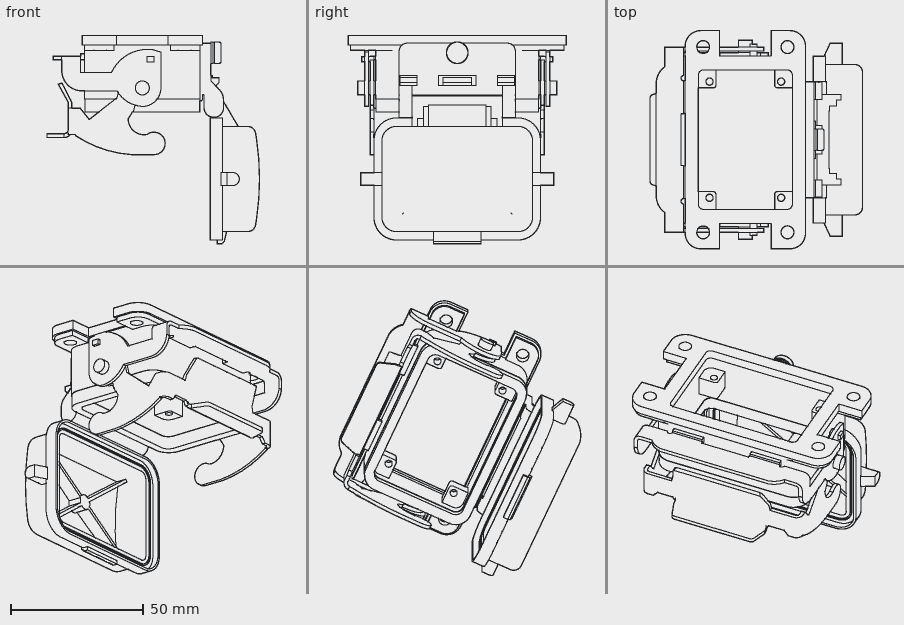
import cadquery as cq
import math


flange_half_x = 22.8
flange_half_y = 41.25
flange_thickness = 3.6
flange_corner = 5.9
flange_notch_half_x = 9.7
flange_notch_floor_y = 31.7
step_inset = 0.9
step_bottom_z = -5.6
step_notch_half_x = 10.7
mount_hole_x = 15.9
mount_hole_y = 35.0
mount_hole_radius = 2.4

body_half_x = flange_half_x - step_inset
body_half_y = 30.85
body_corner = 6.2
body_bottom_z = -28.95
foot_top_z = -23.9
foot_inset = 0.2
foot_relief = 0.6
opening_half_x = 17.7
opening_half_y = 26.3
opening_corner = 1.9
cavity_relief = 0.75
cavity_corner = 3.05

boss_inner_x = 11.05
boss_inner_y = 19.55
boss_top_z = -9.1
boss_height = 7.9
boss_corner = 1.1
boss_hole_x = 13.5
boss_hole_y = 21.95
boss_hole_radius = 1.3

pivot_z = -19.8
pivot_radius = 2.6
pivot_end_y = 37.6
lock_pin_x = 3.05
lock_pin_z = -9.0
lock_pin_length = 2.7
lock_pin_height = 2.0
lock_pin_end_y = 36.1

upper_outer_y = 35.0
upper_sheet = 1.5
upper_bend = 2.8
upper_top_z = -7.75
upper_left_x = -30.45
upper_right_x = -23.35
upper_bend_z = upper_top_z - upper_bend
upper_arm_top_z = -13.95
upper_arm_bottom_z = -20.95
upper_elbow = 7.7
upper_head_radius = 7.0
upper_crest_z = -5.4
upper_shoulder_x = -11.6
upper_crest_arc = (-7.35, -8.5)
upper_crest_right_x = 4.0
upper_head_corner_z = -6.3
upper_throat_arc = (-5.6, -25.0)
upper_throat_x = -9.6
upper_lip_bulge = 0.75
upper_lip_x = -33.7
upper_lip_half_y = 22.1
upper_lip_root_y = 27.55
relief_x = -24.25
relief_half_y = 9.7
relief_slot_y = 23.3
relief_slot_radius = 1.0
stop_inner_y = 9.9
stop_outer_y = 22.3
stop_top_z = -6.85

lower_outer_y = 32.9
lower_sheet = 1.4
lower_left_x = -28.05
lower_bend = 2.7
lower_arm_x = lower_left_x + lower_bend
lower_return_x = lower_arm_x + 0.8
lower_plate_top_z = -27.5
lower_plate_bottom_z = -37.45
lower_arch_z = -35.4
lower_arch_outer_y = 26.3
lower_arch_foot_y = 28.05
guard_base_half_y = 20.55
guard_bend_half_y = 20.0
guard_tip_half_y = 18.0
guard_bend_z = -25.2
guard_tip_z = -17.9
guard_tip_x = -30.4
guard_tip_drop = 0.5
guard_corner = 1.5
guard_bend_radius = 1.2
grip_root_half_y = 20.0
grip_half_y = 18.9
grip_round_half_y = 17.0
grip_tip_half_y = 15.5
grip_tip_x = -36.05
grip_round_x = -35.2
grip_bend_inner = 1.5
grip_round_bulge = 0.2
grip_top_z = -37.05
grip_bottom_z = -38.6
lower_shoulder_x = -23.4
lower_notch = (-20.05, -31.7)
lower_neck = (-9.6, -23.5)
lower_head_left_x = -8.7
lower_head_arc = (-5.85, -13.2)
lower_head_top = (0.8, -9.2)
lower_head_right_x = 5.8
lower_head_bottom_arc = (3.3, -24.3)
lower_throat = (-2.8, -26.3)
lower_throat_bend = (-3.1, -28.05)
hook_mouth = (-5.3, -31.4)
hook_mouth_arc = (-3.0, -36.2)
hook_throat_x = 1.8
lower_keel_x = -4.05
lower_keel_arc = (-15.2, -42.8)
lower_keel_drop = 0.3
hook_center_x = 4.4
hook_center_z = -40.75
hook_radius = 4.3

hinge_half_y = 21.95
hinge_top_z = -2.9
hinge_corner = 3.05
hinge_plate_x = 25.9
hinge_plate_bottom_z = -22.4
hinge_heel_x = 22.8
hinge_heel_bottom_z = -24.7
hinge_heel_chamfer = 0.5
hinge_axis_x = 27.0
hinge_axis_z = -27.2
hinge_radius = 3.7
hinge_arm_inner_y = 17.1
hinge_shoulder_z = -17.2
hinge_slope_x = 29.3
hinge_slope_z = -20.6
hinge_arm_arc = (30.3, -22.2)
hinge_arm_round_z = -24.1
catch_end_x = 28.95
catch_top_z = -15.9
catch_bottom_z = -19
catch_chamfer = 1.15
catch_inner_y = 15.2
catch_outer_y = 21.7
catch_root_x = 26.5
catch_root_z = -15.0
catch_block_half_y = 5.45
catch_block_root_half_y = 7.1
screw_z = -6.5
screw_radius = 4.1
screw_end_x = 29.8
screw_rounding = 1.0
screw_groove_x = 26.7
screw_groove_width = 0.6
screw_groove_depth = 0.2

cover_z = -54.2
rim_front_x = 25.6
rim_back_x = 30.4
rim_half_y = 31.5
rim_half_z = 23.1
rim_corner = 8.7
shell_half_y = 28.5
shell_half_z = 19.9
shell_corner = 5.5
shell_edge_x = 42.3
shell_peak_x = 44.3
shell_fillet = 3.05
shell_wall = 2.3
lip_width = 0.9
seat_depth = 2.5
bead_outer_inset = 2.7
bead_width = 0.6
bead_height = 0.4
pocket_half_y = 26.3
pocket_half_z = 18.1
pocket_corner = 2.5
pocket_taper = 4.2
rib_front_x = 36.5
rib_floor_overlap = 0.8
rib_width = 1.2
rib_angle = 33.9
hub_radius = 2.9

peg_end_y = 36.5
peg_height = 4.9
peg_root_x = 29.7
peg_tip_x = 32.0
peg_right_x = 36.6

gusset_steps = [(14.9, 17.1, 36.3), (12.8, 14.9, 34.5), (10.9, 12.8, 31.85)]
gusset_radius = 4.4
gusset_slope = 1.7
gusset_web_x = 31.5
gusset_root_x = 29.5
gusset_root_z = -35.1

cover_tab_half_y = 9.0
cover_tab_bottom_z = -78.7
cover_tab_left_x = 28.2
cover_tab_toe_x = 30.0
cover_tab_bevel = 1.0
cover_tab_heel_x = 31.85


def block(x0, x1, y0, y1, z0, z1):
    return cq.Workplane("XY").box(x1 - x0, y1 - y0, z1 - z0, centered=False).translate((x0, y0, z0))


def both_sides(solid):
    return solid.union(solid.mirror("XZ"))


def side_sketch(y_face):
    """Workplane holding X and Z; extruding from it goes toward -Y."""
    return cq.Workplane("XZ", origin=(0, y_face, 0))


def rounded_prism(half_x, half_y, corner, z_top, z_bottom):
    prism = block(-half_x, half_x, -half_y, half_y, z_bottom, z_top)
    return prism.edges("|Z").fillet(corner)


def cover_prism(half_y, half_z, corner, x0, x1):
    prism = block(x0, x1, -half_y, half_y, cover_z - half_z, cover_z + half_z)
    return prism.edges("|X").fillet(corner)


def flange_layer(half_x, half_y, corner, notch_half_x, notch_floor, z_top, z_bottom):
    layer = rounded_prism(half_x, half_y, corner, z_top, z_bottom)
    notch = block(-notch_half_x, notch_half_x, notch_floor, half_y + 0.8, z_bottom, z_top)
    return layer.cut(both_sides(notch))


def make_housing():
    flange = flange_layer(
        flange_half_x, flange_half_y, flange_corner,
        flange_notch_half_x, flange_notch_floor_y, 0, -flange_thickness,
    )
    step = flange_layer(
        body_half_x, flange_half_y - step_inset, flange_corner - step_inset,
        step_notch_half_x, body_half_y, -flange_thickness, step_bottom_z,
    )
    body = rounded_prism(body_half_x, body_half_y, body_corner, -flange_thickness, foot_top_z)
    foot = rounded_prism(
        body_half_x - foot_inset, body_half_y - foot_inset, body_corner - foot_inset,
        foot_top_z, body_bottom_z,
    )
    housing = flange.union(step).union(body).union(foot)

    opening = rounded_prism(opening_half_x, opening_half_y, opening_corner, 0, -flange_thickness)
    cavity = rounded_prism(
        opening_half_x + cavity_relief, opening_half_y + cavity_relief, cavity_corner,
        -flange_thickness, foot_top_z,
    )
    foot_opening = rounded_prism(
        opening_half_x + foot_relief, opening_half_y + foot_relief, cavity_corner,
        foot_top_z, body_bottom_z,
    )
    housing = housing.cut(opening).cut(cavity).cut(foot_opening)

    boss = block(
        boss_inner_x, opening_half_x + 0.8, boss_inner_y, opening_half_y + 0.8,
        boss_top_z - boss_height, boss_top_z,
    )
    boss = boss.edges("|Z and <X and <Y").fillet(boss_corner)
    bosses = both_sides(boss.union(boss.mirror("YZ")))
    housing = housing.union(bosses)

    boss_holes = (
        cq.Workplane("XY").rect(2 * boss_hole_x, 2 * boss_hole_y, forConstruction=True).vertices()
        .circle(boss_hole_radius).extrude(body_bottom_z)
    )
    mount_holes = (
        cq.Workplane("XY").rect(2 * mount_hole_x, 2 * mount_hole_y, forConstruction=True).vertices()
        .circle(mount_hole_radius).extrude(step_bottom_z)
    )
    return housing.cut(boss_holes).cut(mount_holes)


def make_pins():
    pivot = side_sketch(pivot_end_y).center(0, pivot_z).circle(pivot_radius)
    pivot = pivot.extrude(pivot_end_y - body_half_y + 0.8)
    lock_pin = side_sketch(lock_pin_end_y).center(lock_pin_x, lock_pin_z)
    lock_pin = lock_pin.rect(lock_pin_length, lock_pin_height)
    lock_pin = lock_pin.extrude(lock_pin_end_y - lower_outer_y + lower_sheet)
    return both_sides(pivot.union(lock_pin))


def upper_lever_arm():
    elbow_x = upper_left_x + upper_elbow
    elbow_z = upper_arm_bottom_z + upper_elbow
    elbow_reach = upper_elbow * math.sqrt(0.5)
    head_reach = upper_head_radius * math.sqrt(0.5)
    arm = (
        side_sketch(upper_outer_y)
        .moveTo(upper_left_x, upper_bend_z)
        .lineTo(upper_right_x, upper_bend_z)
        .lineTo(upper_right_x, upper_arm_top_z)
        .lineTo(upper_shoulder_x, upper_arm_top_z)
        .threePointArc(upper_crest_arc, (0, upper_crest_z))
        .lineTo(upper_crest_right_x, upper_crest_z)
        .lineTo(upper_head_radius, upper_head_corner_z)
        .lineTo(upper_head_radius, pivot_z)
        .threePointArc((head_reach, pivot_z - head_reach), (0, pivot_z - upper_head_radius))
        .threePointArc(upper_throat_arc, (upper_throat_x, upper_arm_bottom_z))
        .lineTo(elbow_x, upper_arm_bottom_z)
        .threePointArc((elbow_x - elbow_reach, elbow_z - elbow_reach), (upper_left_x, elbow_z))
        .close()
        .extrude(upper_sheet)
    )
    return both_sides(arm)


def make_upper_lever():
    inner_y = upper_outer_y - upper_sheet
    under_z = upper_top_z - upper_sheet
    bridge = block(
        upper_left_x, upper_right_x, -upper_outer_y, upper_outer_y, upper_arm_top_z, upper_top_z,
    )
    bridge = bridge.edges("|X and >Z").fillet(upper_bend)
    hollow = block(upper_left_x, upper_right_x, -inner_y, inner_y, upper_arm_top_z, under_z)
    bridge = bridge.cut(hollow.edges("|X and >Z").fillet(upper_bend - upper_sheet))

    lip_middle_x = (upper_left_x + upper_lip_x) / 2 - upper_lip_bulge
    lip_middle_y = (upper_lip_root_y + upper_lip_half_y) / 2
    lip = (
        cq.Workplane("XY", origin=(0, 0, under_z))
        .moveTo(upper_left_x, upper_lip_root_y)
        .threePointArc((lip_middle_x, lip_middle_y), (upper_lip_x, upper_lip_half_y))
        .lineTo(upper_lip_x, -upper_lip_half_y)
        .threePointArc((lip_middle_x, -lip_middle_y), (upper_left_x, -upper_lip_root_y))
        .close()
        .extrude(upper_sheet)
    )
    relief = block(relief_x, upper_right_x, -relief_half_y, relief_half_y, under_z, upper_top_z)
    slot = (
        cq.Workplane("XY", origin=(relief_x + relief_slot_radius, relief_slot_y, under_z))
        .circle(relief_slot_radius).extrude(upper_sheet)
    )
    stop = block(upper_right_x, -body_half_x, stop_inner_y, stop_outer_y, under_z, stop_top_z)
    lever = bridge.union(lip).cut(relief).cut(both_sides(slot)).union(both_sides(stop))
    return lever.union(upper_lever_arm())


def lower_lever_arm():
    hook_bottom_z = hook_center_z - hook_radius
    hook_throat_z = hook_center_z + math.sqrt(hook_radius ** 2 - (hook_center_x - hook_throat_x) ** 2)
    arm = (
        side_sketch(lower_outer_y)
        .moveTo(lower_arm_x, lower_plate_top_z)
        .lineTo(lower_shoulder_x, lower_plate_top_z)
        .lineTo(*lower_notch)
        .lineTo(*lower_neck)
        .lineTo(lower_head_left_x, pivot_z)
        .threePointArc(lower_head_arc, lower_head_top)
        .lineTo(lower_head_right_x, lower_head_top[1])
        .lineTo(lower_head_right_x, pivot_z)
        .threePointArc(lower_head_bottom_arc, lower_throat)
        .lineTo(*lower_throat_bend)
        .lineTo(*hook_mouth)
        .threePointArc(hook_mouth_arc, (hook_throat_x, hook_throat_z))
        .threePointArc((hook_center_x + hook_radius, hook_center_z), (hook_center_x, hook_bottom_z))
        .lineTo(lower_keel_x, hook_bottom_z)
        .threePointArc(lower_keel_arc, (lower_arm_x, lower_plate_bottom_z - lower_keel_drop))
        .close()
        .extrude(lower_sheet)
    )
    return both_sides(arm)


def lower_lever_plate():
    inner_x = lower_left_x + lower_sheet
    inner_y = lower_outer_y - lower_sheet
    plate = block(
        lower_left_x, lower_return_x, -lower_outer_y, lower_outer_y,
        lower_plate_bottom_z, lower_plate_top_z,
    )
    plate = plate.edges("|Z and <X").fillet(lower_bend)
    hollow = block(inner_x, lower_return_x, -inner_y, inner_y, lower_plate_bottom_z, lower_plate_top_z)
    plate = plate.cut(hollow.edges("|Z and <X").fillet(lower_bend - lower_sheet))
    arch = (
        cq.Workplane("YZ", origin=(lower_left_x, 0, 0))
        .moveTo(-lower_arch_foot_y, lower_plate_bottom_z)
        .lineTo(-lower_arch_outer_y, lower_arch_z)
        .lineTo(lower_arch_outer_y, lower_arch_z)
        .lineTo(lower_arch_foot_y, lower_plate_bottom_z)
        .close()
        .extrude(lower_bend)
    )
    return plate.cut(arch)


def finger_guard():
    """Tapered sheet that rises from the lower lever plate and leans outward."""
    outline = (
        cq.Workplane("YZ", origin=(guard_tip_x - lower_bend, 0, 0))
        .moveTo(-guard_base_half_y, lower_plate_top_z)
        .lineTo(-guard_bend_half_y, guard_bend_z)
        .lineTo(-guard_tip_half_y, guard_tip_z)
        .lineTo(guard_tip_half_y, guard_tip_z)
        .lineTo(guard_bend_half_y, guard_bend_z)
        .lineTo(guard_base_half_y, lower_plate_top_z)
        .close()
        .extrude(3 * lower_bend)
        .edges("|X and >Z").fillet(guard_corner)
    )
    sheet = (
        side_sketch(guard_base_half_y)
        .moveTo(lower_left_x, lower_plate_top_z)
        .lineTo(lower_left_x, guard_bend_z)
        .lineTo(guard_tip_x - lower_sheet, guard_tip_z - guard_tip_drop)
        .lineTo(guard_tip_x, guard_tip_z)
        .lineTo(lower_left_x + lower_sheet, guard_bend_z)
        .lineTo(lower_left_x + lower_sheet, lower_plate_top_z)
        .close()
        .extrude(2 * guard_base_half_y)
    )
    bend_edges = cq.selectors.BoxSelector(
        (lower_left_x - lower_sheet, -guard_base_half_y, guard_bend_z - 0.1),
        (lower_left_x + 2 * lower_sheet, guard_base_half_y, guard_bend_z + 0.1),
    )
    return sheet.edges(bend_edges).fillet(guard_bend_radius).intersect(outline)


def finger_grip():
    """Sheet that drops from the lower lever plate and turns outward."""
    bend_x = lower_left_x + lower_sheet
    round_middle_x = (grip_round_x + grip_tip_x) / 2 - grip_round_bulge
    round_middle_y = (grip_round_half_y + grip_tip_half_y) / 2 + grip_round_bulge
    drop = block(lower_left_x, bend_x, -grip_half_y, grip_half_y, grip_bottom_z, lower_arch_z)
    ledge = (
        cq.Workplane("XY", origin=(0, 0, grip_bottom_z))
        .moveTo(bend_x, -grip_half_y)
        .lineTo(lower_left_x - grip_bend_inner, -grip_half_y)
        .lineTo(grip_round_x, -grip_round_half_y)
        .threePointArc((round_middle_x, -round_middle_y), (grip_tip_x, -grip_tip_half_y))
        .lineTo(grip_tip_x, grip_tip_half_y)
        .threePointArc((round_middle_x, round_middle_y), (grip_round_x, grip_round_half_y))
        .lineTo(lower_left_x - grip_bend_inner, grip_half_y)
        .lineTo(bend_x, grip_half_y)
        .close()
        .extrude(grip_top_z - grip_bottom_z)
    )
    flare = (
        cq.Workplane("YZ", origin=(lower_left_x, 0, 0))
        .moveTo(-grip_root_half_y, lower_arch_z)
        .lineTo(grip_root_half_y, lower_arch_z)
        .lineTo(grip_half_y, grip_top_z)
        .lineTo(-grip_half_y, grip_top_z)
        .close()
        .extrude(lower_sheet)
    )
    grip = drop.union(ledge)
    inner_corner = cq.selectors.NearestToPointSelector((lower_left_x, 0, grip_top_z))
    grip = grip.edges("|Y").edges(inner_corner).fillet(grip_bend_inner)
    grip = grip.edges("|Y and >X and <Z").fillet(grip_bend_inner + lower_sheet)
    return grip.union(flare)


def make_lower_lever():
    return lower_lever_plate().union(lower_lever_arm()).union(finger_guard()).union(finger_grip())


def make_screw():
    length = screw_end_x - hinge_plate_x
    screw = (
        cq.Workplane("YZ", origin=(hinge_plate_x, 0, screw_z))
        .circle(screw_radius).extrude(length).faces(">X").edges().fillet(screw_rounding)
    )
    groove = (
        cq.Workplane("YZ", origin=(screw_groove_x, 0, screw_z))
        .circle(screw_radius).circle(screw_radius - screw_groove_depth).extrude(screw_groove_width)
    )
    return screw.cut(groove)


def hinge_catch(y0, y1):
    catch = block(hinge_plate_x, catch_end_x, y0, y1, catch_bottom_z, catch_top_z)
    catch = catch.edges("|Y and >X and <Z").chamfer(catch_chamfer)
    return catch.union(block(hinge_plate_x, catch_root_x, y0, y1, catch_bottom_z, catch_root_z))


def make_hinge():
    plate = block(
        body_half_x, hinge_plate_x, -hinge_half_y, hinge_half_y, hinge_plate_bottom_z, hinge_top_z,
    )
    plate = plate.edges("|X and >Z").fillet(hinge_corner)
    heel = block(
        body_half_x - foot_inset, hinge_heel_x, -hinge_half_y, hinge_half_y,
        hinge_heel_bottom_z, hinge_plate_bottom_z,
    )
    plate = plate.union(heel.edges("|Y and >X and <Z").chamfer(hinge_heel_chamfer))
    arm_left_x = hinge_axis_x - hinge_radius
    arm_right_x = hinge_axis_x + hinge_radius
    arm = (
        side_sketch(hinge_half_y)
        .moveTo(arm_left_x, hinge_shoulder_z)
        .lineTo(hinge_plate_x, hinge_shoulder_z)
        .lineTo(hinge_slope_x, hinge_slope_z)
        .threePointArc(hinge_arm_arc, (arm_right_x, hinge_arm_round_z))
        .lineTo(arm_right_x, hinge_axis_z)
        .threePointArc((hinge_axis_x, hinge_axis_z - hinge_radius), (arm_left_x, hinge_axis_z))
        .close()
        .extrude(hinge_half_y - hinge_arm_inner_y)
    )
    catch = hinge_catch(catch_inner_y, catch_outer_y)
    center_catch = hinge_catch(-catch_block_half_y, catch_block_half_y)
    center_root = block(
        hinge_plate_x, catch_root_x, -catch_block_root_half_y, catch_block_root_half_y,
        catch_bottom_z, catch_root_z,
    )
    hinge = plate.union(both_sides(arm.union(catch))).union(center_catch).union(center_root)
    return hinge.union(make_screw())


def domed_bar(inset):
    """Bar along Y whose +X face is a shallow arc, set back from the cover's dome by the inset."""
    edge_x = shell_edge_x - inset
    return (
        side_sketch(rim_half_y)
        .moveTo(rim_front_x, cover_z - shell_half_z)
        .lineTo(edge_x, cover_z - shell_half_z)
        .threePointArc((shell_peak_x - inset, cover_z), (edge_x, cover_z + shell_half_z))
        .lineTo(rim_front_x, cover_z + shell_half_z)
        .close()
        .extrude(2 * rim_half_y)
    )


def cover_shell():
    rim = cover_prism(rim_half_y, rim_half_z, rim_corner, rim_front_x, rim_back_x)
    shell = cover_prism(shell_half_y, shell_half_z, shell_corner, rim_front_x, shell_peak_x)
    shell = shell.intersect(domed_bar(0)).faces(">X").edges().fillet(shell_fillet)
    cover = rim.union(shell)

    seat_x = rim_front_x + seat_depth
    seat = cover_prism(
        rim_half_y - lip_width, rim_half_z - lip_width, rim_corner - lip_width, rim_front_x, seat_x,
    )
    bead_inner_inset = bead_outer_inset + bead_width
    bead = cover_prism(
        rim_half_y - bead_outer_inset, rim_half_z - bead_outer_inset, rim_corner - bead_outer_inset,
        seat_x - bead_height, seat_x,
    )
    bead = bead.cut(cover_prism(
        rim_half_y - bead_inner_inset, rim_half_z - bead_inner_inset, rim_corner - bead_inner_inset,
        seat_x - bead_height, seat_x,
    ))

    pocket = (
        cq.Workplane("YZ", origin=(seat_x, 0, cover_z))
        .sketch().rect(2 * pocket_half_y, 2 * pocket_half_z).vertices().fillet(pocket_corner).finalize()
        .extrude(shell_peak_x - seat_x, taper=pocket_taper)
        .intersect(domed_bar(shell_wall))
    )
    return cover.cut(seat).union(bead).cut(pocket)


def cover_ribs():
    """Diagonal ribs and a round hub standing on the cover floor."""
    length = 2 * math.hypot(pocket_half_y, pocket_half_z)
    plane = cq.Workplane("YZ", origin=(rib_front_x, 0, cover_z))
    depth = shell_edge_x - rib_front_x
    ribs = plane.circle(hub_radius).extrude(depth)
    for angle in (rib_angle, -rib_angle):
        rib = plane.rect(length, rib_width).extrude(depth)
        ribs = ribs.union(rib.rotate((0, 0, cover_z), (1, 0, cover_z), angle))
    bounds = cover_prism(
        pocket_half_y, pocket_half_z, pocket_corner, rib_front_x, shell_edge_x,
    )
    return ribs.intersect(bounds).intersect(domed_bar(shell_wall - rib_floor_overlap))


def cover_pegs():
    radius = peg_height / 2
    profile = (
        side_sketch(peg_end_y)
        .moveTo(peg_root_x, cover_z - radius)
        .lineTo(peg_right_x - radius, cover_z - radius)
        .threePointArc((peg_right_x, cover_z), (peg_right_x - radius, cover_z + radius))
        .lineTo(peg_root_x, cover_z + radius)
        .close()
        .extrude(peg_end_y - shell_half_y + 0.8)
    )
    slanted_end = (
        cq.Workplane("XY", origin=(0, 0, cover_z - radius))
        .moveTo(peg_root_x, rim_half_y)
        .lineTo(peg_tip_x, peg_end_y)
        .lineTo(peg_root_x, peg_end_y)
        .close()
        .extrude(peg_height)
    )
    return both_sides(profile.cut(slanted_end))


def knuckle_gusset(reach_x, y_inner, y_outer):
    """Plate that ties the hinge knuckle to the rim and the back of the cover."""
    tangent_angle = math.atan2(1, gusset_slope)
    middle_angle = (tangent_angle + math.pi / 2) / 2
    tangent_x = hinge_axis_x + gusset_radius * math.cos(tangent_angle)
    tangent_z = hinge_axis_z + gusset_radius * math.sin(tangent_angle)
    middle_x = hinge_axis_x + gusset_radius * math.cos(middle_angle)
    middle_z = hinge_axis_z + gusset_radius * math.sin(middle_angle)
    return (
        side_sketch(y_outer)
        .moveTo(hinge_axis_x, hinge_axis_z)
        .lineTo(hinge_axis_x, hinge_axis_z + gusset_radius)
        .threePointArc((middle_x, middle_z), (tangent_x, tangent_z))
        .lineTo(reach_x, tangent_z - gusset_slope * (reach_x - tangent_x))
        .lineTo(reach_x, gusset_root_z)
        .lineTo(gusset_root_x, gusset_root_z)
        .close()
        .extrude(y_outer - y_inner)
    )


def cover_knuckle():
    knuckle = side_sketch(hinge_arm_inner_y).center(hinge_axis_x, hinge_axis_z).circle(hinge_radius)
    knuckle = knuckle.extrude(2 * hinge_arm_inner_y)
    for y_inner, y_outer, reach_x in gusset_steps:
        knuckle = knuckle.union(both_sides(knuckle_gusset(reach_x, y_inner, y_outer)))
    web_half_y = gusset_steps[-1][0]
    return knuckle.union(knuckle_gusset(gusset_web_x, -web_half_y, web_half_y))


def cover_tab():
    return (
        side_sketch(cover_tab_half_y)
        .moveTo(cover_tab_left_x, cover_tab_bottom_z)
        .lineTo(cover_tab_toe_x, cover_tab_bottom_z)
        .lineTo(cover_tab_toe_x + cover_tab_bevel, cover_tab_bottom_z + cover_tab_bevel)
        .lineTo(cover_tab_heel_x, cover_z - shell_half_z)
        .lineTo(cover_tab_left_x, cover_z - shell_half_z)
        .close()
        .extrude(2 * cover_tab_half_y)
    )


def make_cover():
    return cover_shell().union(cover_ribs()).union(cover_pegs()).union(cover_knuckle()).union(cover_tab())


result = make_housing()
for component in (make_pins(), make_upper_lever(), make_lower_lever(), make_hinge(), make_cover()):
    result = result.union(component)